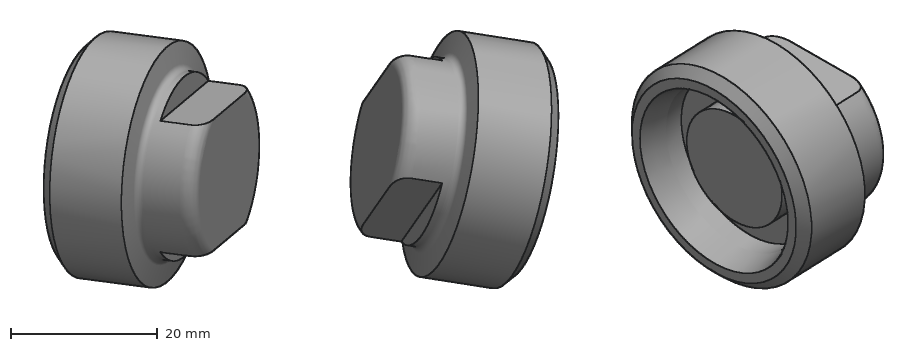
import cadquery as cq
import math

total_length = 21.0

collar_radius = 17.0
collar_length = 12.0
rim_chamfer = 1.5
back_angle = math.radians(10)

neck_radius = 26.0 / 2
neck_root_fillet = 1.0
neck_end_fillet = 2.0
flat_length = 6.5
flat_half_width = 9.5

mouth_radius = 13.97
bore_radius = 25.8 / 2
taper_depth = 4.0
socket_depth = 7.0
boss_radius = 18.0 / 2


def make_body():
    """Turn the collar and neck, joined by a fillet tangent to the sloping back of the collar."""
    fillet_center_radius = neck_radius + neck_root_fillet
    root_radius = fillet_center_radius - neck_root_fillet * math.sin(back_angle)
    root_x = collar_length + (collar_radius - root_radius) * math.tan(back_angle)
    fillet_center_x = root_x + neck_root_fillet * math.cos(back_angle)
    middle_angle = (math.pi / 2 + back_angle) / 2
    fillet_middle = (
        fillet_center_x - neck_root_fillet * math.cos(middle_angle),
        fillet_center_radius - neck_root_fillet * math.sin(middle_angle),
    )
    profile = (
        cq.Workplane("XY")
        .lineTo(0, collar_radius - rim_chamfer)
        .lineTo(rim_chamfer, collar_radius)
        .lineTo(collar_length, collar_radius)
        .lineTo(root_x, root_radius)
        .threePointArc(fillet_middle, (fillet_center_x, neck_radius))
        .lineTo(total_length, neck_radius)
        .lineTo(total_length, 0)
        .close()
    )
    body = profile.revolve(360, (0, 0), (1, 0))
    return body.faces(">X").edges().fillet(neck_end_fillet)


def make_socket():
    """Turn the hollow of the socket, leaving the boss standing up to the end of the taper."""
    return (
        cq.Workplane("XY")
        .lineTo(0, mouth_radius)
        .lineTo(taper_depth, bore_radius)
        .lineTo(socket_depth, bore_radius)
        .lineTo(socket_depth, boss_radius)
        .lineTo(taper_depth, boss_radius)
        .lineTo(taper_depth, 0)
        .close()
        .revolve(360, (0, 0), (1, 0))
    )


def cut_flats(body):
    """Cut the parallel flats on the upper and lower sides of the neck."""
    cut_height = collar_radius - flat_half_width
    cutter = cq.Workplane("XY").box(flat_length, 2 * collar_radius, cut_height)
    cutter_x = total_length - flat_length / 2
    for side in (1, -1):
        cutter_z = side * (flat_half_width + cut_height / 2)
        body = body.cut(cutter.translate((cutter_x, 0, cutter_z)))
    return body


result = cut_flats(make_body()).cut(make_socket())